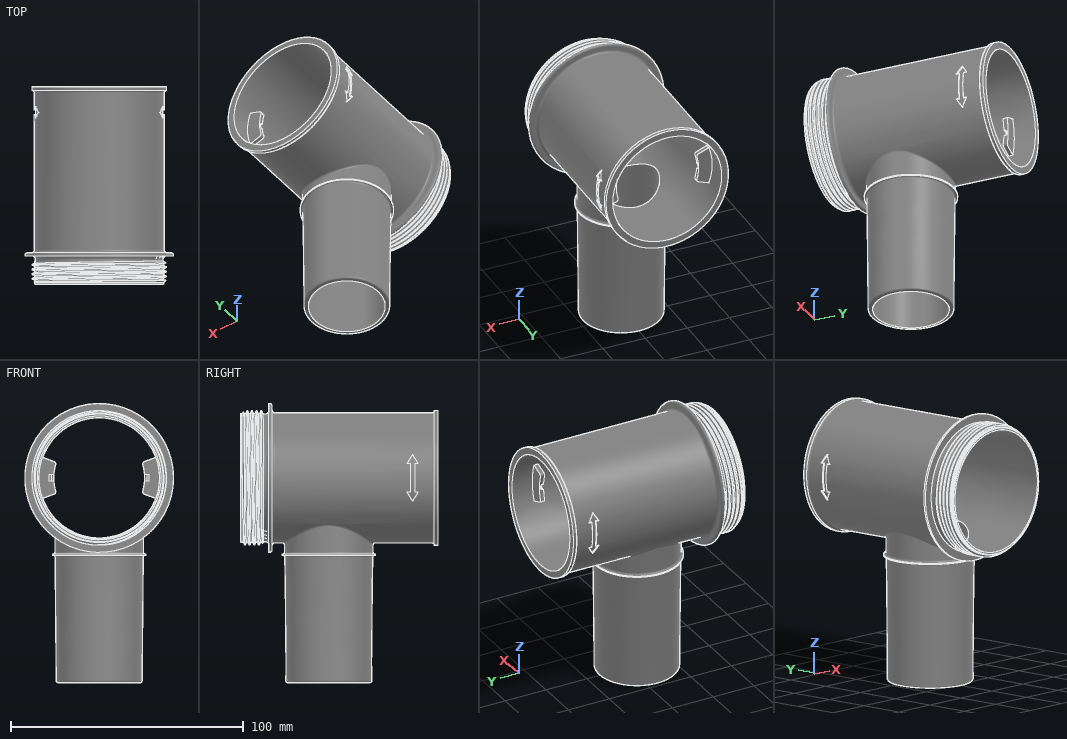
import cadquery as cq
import math


TUBE_LENGTH = 85.0
FRONT_Y = -38.0
BACK_Y = FRONT_Y + TUBE_LENGTH
TUBE_RADIUS = 56.0 / 2
BORE_FRONT_RADIUS = 26.6
BORE_BACK_RADIUS = 25.8
RIM_RADIUS = 58.0 / 2
RIM_WIDTH = 1.7
RIM_FILLET = 0.9
FLANGE_RADIUS = 64.0 / 2
FLANGE_FRONT_Y = FRONT_Y + 12.2
FLANGE_BACK_Y = FRONT_Y + 13.7
FLANGE_ROUND = 1.1
FLANGE_FILLET = 1.2
NECK_RADIUS = 27.45
NECK_WAIST_Y = FRONT_Y + 10.6
NECK_START_Y = FRONT_Y + 9.6
NECK_FLANGE_RADIUS = 28.3

ROOT_RADIUS = 55.52 / 2
CREST_RADIUS = 57.82 / 2
PITCH = 2.0
THREAD_TURNS = 6
THREAD_FOOT = 1.6
THREAD_CREST = 0.3
THREAD_OVERLAP = 0.3
THREAD_START_Y = FRONT_Y - 1.5
THREAD_LEAD_Y = FRONT_Y + 0.8
THREAD_FADE_Y = FRONT_Y + 8.9
THREAD_END_Y = FRONT_Y + 10.3
END_CHAMFER = 0.3

BRANCH_LENGTH = 120.0 - FLANGE_RADIUS
BRANCH_NECK_RADIUS = 19.1
BRANCH_TOP_RADIUS = 19.0
BRANCH_END_RADIUS = 18.5
BRANCH_BORE_RADIUS = 16.5
BRANCH_END_ROUND = 0.8
BRANCH_FILLET = 0.8
COLLAR_RADIUS = 20.1
COLLAR_Z = -33.0
COLLAR_EDGE = 0.5
COLLAR_FILLET = 0.9

SIDE_Y = BACK_Y - 11.0
TAB_INNER_RADIUS = 19.5
TAB_HALF_ANGLE = math.radians(20)
TAB_THICKNESS = 2.0
TAB_FILLET = 1.2
SLOT_HEIGHT = 2.8
GROOVE_LENGTH = 1.0
RECESS_LENGTH = 1.0
RECESS_DEPTH = 1.0
ARROW_HALF_LENGTH = 10.0
ARROW_HEAD_START = 6.1
ARROW_HEAD_HALF_WIDTH = 2.4
ARROW_SHAFT_HALF_WIDTH = 1.0
ARROW_DEPTH = 0.6


def revolve_about_y(profile):
    return profile.close().revolve(360, (0, 0, 0), (0, 1, 0))


def y_cylinder(radius, start, length):
    return cq.Workplane("XZ", origin=(0, start, 0)).circle(radius).extrude(-length)


def arc_middle(radius):
    """Distance of a quarter-circle arc's middle from the two faces it joins."""
    return radius * (1 - math.sqrt(0.5))


def main_tube():
    mid_round = arc_middle(FLANGE_ROUND)
    mid_flange = arc_middle(FLANGE_FILLET)
    mid_rim = arc_middle(RIM_FILLET)
    rim_front = BACK_Y - RIM_WIDTH
    return revolve_about_y(
        cq.Workplane("XY")
        .moveTo(0, FRONT_Y)
        .lineTo(ROOT_RADIUS - END_CHAMFER, FRONT_Y)
        .lineTo(ROOT_RADIUS, FRONT_Y + END_CHAMFER)
        .lineTo(ROOT_RADIUS, NECK_START_Y)
        .threePointArc((NECK_RADIUS, NECK_WAIST_Y), (NECK_FLANGE_RADIUS, FLANGE_FRONT_Y))
        .lineTo(FLANGE_RADIUS, FLANGE_FRONT_Y)
        .lineTo(FLANGE_RADIUS, FLANGE_BACK_Y - FLANGE_ROUND)
        .threePointArc(
            (FLANGE_RADIUS - mid_round, FLANGE_BACK_Y - mid_round),
            (FLANGE_RADIUS - FLANGE_ROUND, FLANGE_BACK_Y),
        )
        .lineTo(TUBE_RADIUS + FLANGE_FILLET, FLANGE_BACK_Y)
        .threePointArc(
            (TUBE_RADIUS + mid_flange, FLANGE_BACK_Y + mid_flange),
            (TUBE_RADIUS, FLANGE_BACK_Y + FLANGE_FILLET),
        )
        .lineTo(TUBE_RADIUS, rim_front - RIM_FILLET)
        .threePointArc(
            (TUBE_RADIUS + mid_rim, rim_front - mid_rim),
            (TUBE_RADIUS + RIM_FILLET, rim_front),
        )
        .lineTo(RIM_RADIUS, rim_front)
        .lineTo(RIM_RADIUS, BACK_Y)
        .lineTo(0, BACK_Y)
    )


def branch():
    mid = arc_middle(COLLAR_FILLET)
    mid_end = arc_middle(BRANCH_END_ROUND)
    collar_top = COLLAR_Z + COLLAR_EDGE / 2
    collar_bottom = COLLAR_Z - COLLAR_EDGE / 2
    return (
        cq.Workplane("XZ")
        .moveTo(0, 0)
        .lineTo(BRANCH_NECK_RADIUS, 0)
        .lineTo(BRANCH_NECK_RADIUS, collar_top + COLLAR_FILLET)
        .threePointArc(
            (BRANCH_NECK_RADIUS + mid, collar_top + mid),
            (BRANCH_NECK_RADIUS + COLLAR_FILLET, collar_top),
        )
        .lineTo(COLLAR_RADIUS, collar_top)
        .lineTo(COLLAR_RADIUS, collar_bottom)
        .lineTo(BRANCH_TOP_RADIUS + COLLAR_FILLET, collar_bottom)
        .threePointArc(
            (BRANCH_TOP_RADIUS + mid, collar_bottom - mid),
            (BRANCH_TOP_RADIUS, collar_bottom - COLLAR_FILLET),
        )
        .lineTo(BRANCH_END_RADIUS, BRANCH_END_ROUND - BRANCH_LENGTH)
        .threePointArc(
            (BRANCH_END_RADIUS - mid_end, mid_end - BRANCH_LENGTH),
            (BRANCH_END_RADIUS - BRANCH_END_ROUND, -BRANCH_LENGTH),
        )
        .lineTo(0, -BRANCH_LENGTH)
        .close()
        .revolve(360, (0, 0, 0), (0, 1, 0))
    )


def bores():
    main = revolve_about_y(
        cq.Workplane("XY")
        .moveTo(0, FRONT_Y)
        .lineTo(BORE_FRONT_RADIUS, FRONT_Y)
        .lineTo(BORE_BACK_RADIUS, BACK_Y)
        .lineTo(0, BACK_Y)
    )
    side = cq.Workplane("XY").circle(BRANCH_BORE_RADIUS).extrude(-BRANCH_LENGTH)
    return main.union(side)


def thread():
    """Right-hand ridge, trimmed to a cone at the tube end and fading out before the flange."""
    base = ROOT_RADIUS - THREAD_OVERLAP
    helix = cq.Wire.makeHelix(PITCH, PITCH * THREAD_TURNS, base)
    ridge = (
        cq.Workplane("XZ")
        .moveTo(base, -THREAD_FOOT / 2)
        .lineTo(CREST_RADIUS, -THREAD_CREST / 2)
        .lineTo(CREST_RADIUS, THREAD_CREST / 2)
        .lineTo(base, THREAD_FOOT / 2)
        .close()
        .sweep(cq.Workplane(obj=helix), isFrenet=True)
        .rotate((0, 0, 0), (0, 0, 1), 180)
        .rotate((0, 0, 0), (1, 0, 0), -90)
        .translate((0, THREAD_START_Y, 0))
    )
    inner = base - THREAD_OVERLAP
    outer = CREST_RADIUS + THREAD_OVERLAP
    envelope = revolve_about_y(
        cq.Workplane("XY")
        .moveTo(inner, THREAD_LEAD_Y)
        .lineTo(ROOT_RADIUS, THREAD_LEAD_Y)
        .lineTo(outer, THREAD_LEAD_Y + outer - ROOT_RADIUS)
        .lineTo(outer, THREAD_FADE_Y)
        .lineTo(inner, THREAD_END_Y)
    )
    return ridge.intersect(envelope)


def tab(side):
    """Ring sector inside the bore, with a stepped slot in its front face; side is -1 or +1."""
    outer = (TUBE_RADIUS + BORE_BACK_RADIUS) / 2

    def at(radius, angle):
        return (side * radius * math.cos(angle), radius * math.sin(angle))

    sector = (
        cq.Workplane("XZ", origin=(0, SIDE_Y - TAB_THICKNESS / 2, 0))
        .moveTo(*at(TAB_INNER_RADIUS, -TAB_HALF_ANGLE))
        .threePointArc(at(TAB_INNER_RADIUS, 0), at(TAB_INNER_RADIUS, TAB_HALF_ANGLE))
        .lineTo(*at(outer, TAB_HALF_ANGLE))
        .threePointArc(at(outer, 0), at(outer, -TAB_HALF_ANGLE))
        .close()
        .extrude(-TAB_THICKNESS)
        .edges("|Y")
        .edges("<X" if side > 0 else ">X")
        .fillet(TAB_FILLET)
    )
    front = SIDE_Y - TAB_THICKNESS / 2
    groove_end = TAB_INNER_RADIUS + GROOVE_LENGTH
    groove = (
        cq.Workplane("YZ", origin=(0, front, 0))
        .circle(SLOT_HEIGHT / 2)
        .extrude(side * groove_end)
    )
    recess = cq.Workplane("XY").box(RECESS_LENGTH, 2 * RECESS_DEPTH, SLOT_HEIGHT)
    recess = recess.translate((side * (groove_end + RECESS_LENGTH / 2), front, 0))
    return sector.cut(groove).cut(recess)


def arrow(side):
    """Double-headed arrow, engraved to an even depth in the curved wall; side is -1 or +1."""
    half = [
        (ARROW_SHAFT_HALF_WIDTH, ARROW_HEAD_START),
        (ARROW_HEAD_HALF_WIDTH, ARROW_HEAD_START),
        (0, ARROW_HALF_LENGTH),
        (-ARROW_HEAD_HALF_WIDTH, ARROW_HEAD_START),
        (-ARROW_SHAFT_HALF_WIDTH, ARROW_HEAD_START),
    ]
    outline = half + [(-y, -z) for y, z in half]
    floor = y_cylinder(TUBE_RADIUS - ARROW_DEPTH, FRONT_Y, TUBE_LENGTH)
    return (
        cq.Workplane("YZ", origin=(0, SIDE_Y, 0))
        .polyline(outline)
        .close()
        .extrude(side * FLANGE_RADIUS)
        .cut(floor)
    )


outside = main_tube().union(branch())
seam = cq.selectors.BoxSelector(
    (-COLLAR_RADIUS, -COLLAR_RADIUS, -TUBE_RADIUS - 1),
    (COLLAR_RADIUS, COLLAR_RADIUS, -1),
    boundingbox=True,
)
outside = outside.edges(seam).fillet(BRANCH_FILLET)

result = outside.cut(bores()).union(thread())
for side in (-1, 1):
    result = result.union(tab(side)).cut(arrow(side))